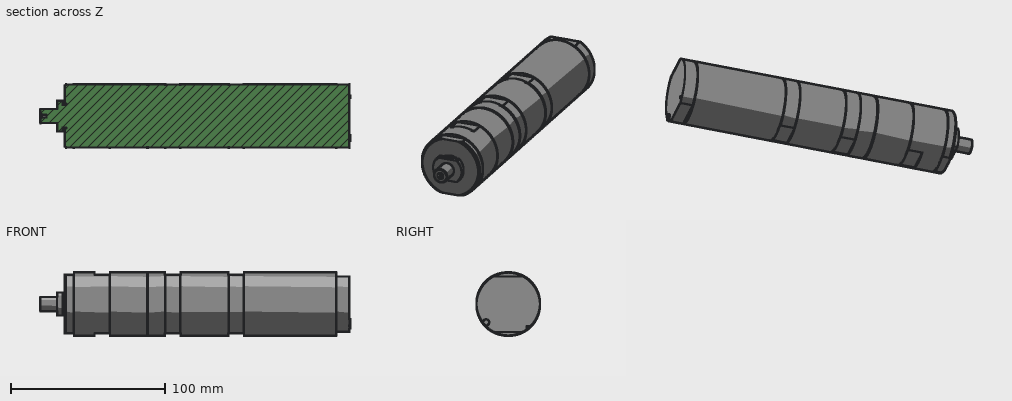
import cadquery as cq

total_length = 201.2
body_diameter = 41.5
body_radius = body_diameter / 2
edge_relief = 0.5

shaft_diameter = 9.5
shaft_chamfer = 0.5
flange_start = 11.0
flange_end = 14.7
flange_diameter = 20.1
flange_across_flats = 15.0
neck_diameter = 14.9

center_mouth_diameter = 4.0
center_pilot_diameter = 1.6
center_cone_depth = (center_mouth_diameter - center_pilot_diameter) / 2
center_pilot_depth = 4.0

body_start = 15.9
body_end = 200.5
nose_chamfer = 1.0
spindle_clearance_diameter = 16.0
spindle_clearance_depth = 1.0
seam_groove_x = 69.6

wrench_across_flats = 38.0
nose_flat_end = 22.0
front_flat = (35.5, 45.3)
middle_flats = ((80.9, 91.1), (122.1, 132.2))
tail_flat_start = 192.1
tail_across_flats = 36.0

tail_pads = ((-14.3, -11.9, 4.0), (12.7, -15.0, 1.6))


def cylinder(start, end, diameter):
    """Cylinder on the tool axis between two X positions."""
    return cq.Workplane("YZ", origin=(start, 0, 0)).circle(diameter / 2).extrude(end - start)


def flat_pair(start, end, across_flats):
    """Cutter that leaves two parallel flats, facing +Z and -Z."""
    length = end - start
    slot = cq.Workplane("XY").box(length, 2 * body_diameter, 2 * body_diameter)
    kept = cq.Workplane("XY").box(length, 2 * body_diameter, across_flats)
    return slot.cut(kept).translate(((start + end) / 2, 0, 0))


def v_groove(x):
    """Ring cutter for a shallow V groove around the body at X."""
    profile = (
        cq.Workplane("XY")
        .moveTo(x - edge_relief, body_radius)
        .lineTo(x, body_radius - edge_relief)
        .lineTo(x + edge_relief, body_radius)
        .close()
    )
    return profile.revolve(360, (0, 0, 0), (1, 0, 0))


def edge_chamfer(sharp_x, inner_x):
    """Ring cutter for a chamfer that is deepest at sharp_x and runs out at inner_x."""
    profile = (
        cq.Workplane("XY")
        .moveTo(sharp_x, body_radius)
        .lineTo(sharp_x, body_radius - abs(inner_x - sharp_x))
        .lineTo(inner_x, body_radius)
        .close()
    )
    return profile.revolve(360, (0, 0, 0), (1, 0, 0))


def make_spindle():
    """Spindle with a chamfered tip, a flange with two flats and a neck."""
    shaft = cylinder(0, flange_start, shaft_diameter).faces("<X").chamfer(shaft_chamfer)
    flange = cylinder(flange_start, flange_end, flange_diameter)
    flange = flange.cut(flat_pair(flange_start, flange_end, flange_across_flats))
    neck = cylinder(flange_end, body_start + spindle_clearance_depth, neck_diameter)
    return shaft.union(flange).union(neck)


def make_center_drilling():
    """Cutter for the conical mouth and the pilot hole in the spindle tip."""
    profile = (
        cq.Workplane("XY")
        .moveTo(0, 0)
        .lineTo(0, center_mouth_diameter / 2)
        .lineTo(center_cone_depth, center_pilot_diameter / 2)
        .lineTo(center_pilot_depth, center_pilot_diameter / 2)
        .lineTo(center_pilot_depth, 0)
        .close()
    )
    return profile.revolve(360, (0, 0, 0), (1, 0, 0))


def make_body():
    """Round body with its flats, edge reliefs, seam groove and spindle recess."""
    body = cylinder(body_start, body_end, body_diameter).faces("<X").chamfer(nose_chamfer)
    for start, end in ((body_start, nose_flat_end), front_flat, *middle_flats):
        body = body.cut(flat_pair(start, end, wrench_across_flats))
    body = body.cut(flat_pair(tail_flat_start, body_end, tail_across_flats))

    for end in (nose_flat_end, front_flat[1]):
        body = body.cut(edge_chamfer(end, end - edge_relief))
    for start, end in middle_flats:
        body = body.cut(edge_chamfer(start, start + edge_relief))
        body = body.cut(edge_chamfer(end, end - edge_relief))
    body = body.cut(edge_chamfer(tail_flat_start, tail_flat_start - edge_relief))

    body = body.cut(v_groove(seam_groove_x))
    recess_floor = body_start + spindle_clearance_depth
    return body.cut(cylinder(body_start, recess_floor, spindle_clearance_diameter))


result = make_body().union(make_spindle()).cut(make_center_drilling())

for pad_y, pad_z, pad_diameter in tail_pads:
    pad = cylinder(body_end, total_length, pad_diameter).translate((0, pad_y, pad_z))
    result = result.union(pad)